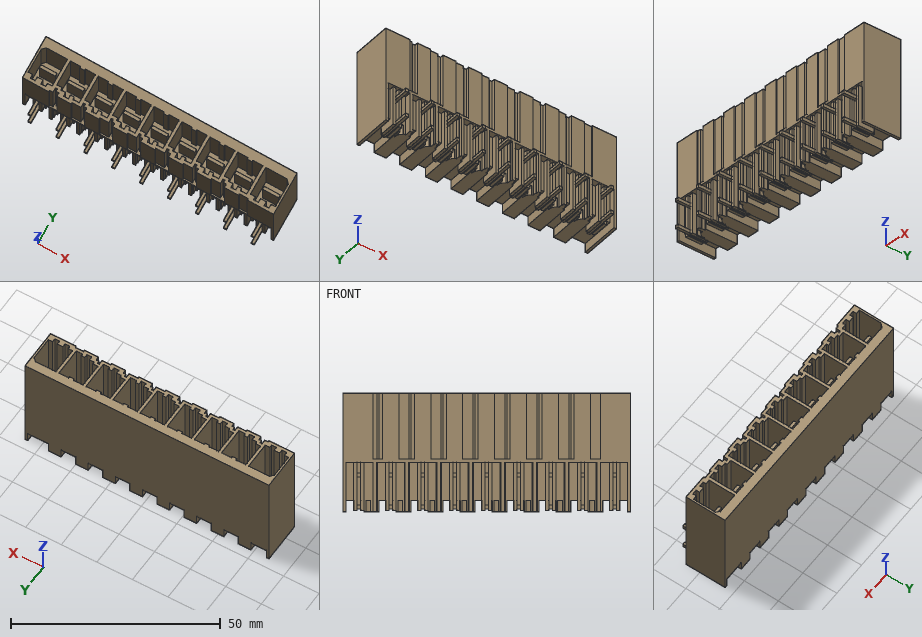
import cadquery as cq


LENGTH = 68.6
DEPTH = 11.5
HEIGHT = 28.3

CELLS = 9
PITCH = LENGTH / CELLS
LAST = CELLS - 1

SOCKET_FLOOR = 12.6
SOCKET_FRONT = 1.85
SOCKET_BACK = 9.1
PARTITION = 0.8
SOCKET_END_WALL = 0.55
CORNER_CHAMFER = 0.9
KEYWAY_FRONT = 0.8
KEYWAY_WIDTH = 1.3
END_KEYWAY_OFFSET = 1.45
END_RELIEF_FRONT = 1.65
RIDGE_WIDTH = 1.3
RIDGE_DEPTH = 0.4
LEFT_STEP_WIDTH = 1.45
LEFT_STEP_FRONT = 2.5
RIGHT_RELIEF_WIDTH = 1.7
RIGHT_RELIEF_FRONT = 1.25

GROOVE_LEFT_OFFSET = -1.9
SLOT_LEFT_OFFSET = 0.515
SLOT_RIGHT_OFFSET = 1.0
GROOVE_RIGHT_OFFSET = 1.8
END_GROOVE_REACH = 0.4
GROOVE_DEPTH = 0.4
SLOT_DEPTH = 1.65
LEDGE_DEPTH = 0.95

BAY_TOP = 11.8
BAY_BACK = 1.7
BAY_END_WALL = 0.75
BAY_STEP = 0.2
BAY_STEP_FRONT = 0.7

PASSAGE_TOP = 2.7
POST_LEFT_OFFSET = -2.55
POST_RIGHT_OFFSET = 1.0
NOTCH_LEFT_OFFSET = -2.1
NOTCH_RIGHT_OFFSET = -1.0
NOTCH_DEPTH = 2.2
NOTCH_CURVE_RADIUS = 2.4

RIB_WIDTH = 0.8
RIB_FRONT = 0.5
RIB_BOTTOM = 0.3

LEG_WIDTH = 0.8
LEG_HEIGHT = 0.95
LEG_REACH = 3.35
LEG_BOTTOMS = (0.6, 8.3)
STEM_FRONT = 5.35
STEM_THICKNESS = 0.8
BLADE_WIDTH = 4.4
BLADE_TOP = 21.95


def block(x_range, y_range, z_range):
    """Rectangular block between the given limits."""
    (x0, x1), (y0, y1), (z0, z1) = x_range, y_range, z_range
    return cq.Workplane("XY").box(x1 - x0, y1 - y0, z1 - z0, centered=False).translate((x0, y0, z0))


def around(middle, width):
    """Limits of a width centred on a middle."""
    return (middle - width / 2, middle + width / 2)


def cell_middle(index):
    return LENGTH / 2 + (index - LAST / 2) * PITCH


def boundary(index):
    """X of the plane between cell index - 1 and cell index."""
    return cell_middle(index) - PITCH / 2


SOCKET_Z = (SOCKET_FLOOR, HEIGHT)


def middle_socket(index):
    """Cavity with one keyway in front, a ridge at the back and stepped front corners."""
    left = boundary(index) + PARTITION / 2
    right = boundary(index + 1) - PARTITION / 2
    middle = cell_middle(index)
    keyway_x = around(middle, KEYWAY_WIDTH)
    relief_x = (right - RIGHT_RELIEF_WIDTH, right)
    step_x = (left, left + LEFT_STEP_WIDTH)
    ridge_x = around(middle, RIDGE_WIDTH)

    socket = block((left, right), (SOCKET_FRONT, SOCKET_BACK), SOCKET_Z)
    socket = socket.union(block(keyway_x, (KEYWAY_FRONT, LEFT_STEP_FRONT), SOCKET_Z))
    socket = socket.union(block(relief_x, (RIGHT_RELIEF_FRONT, LEFT_STEP_FRONT), SOCKET_Z))
    socket = socket.cut(block(step_x, (SOCKET_FRONT, LEFT_STEP_FRONT), SOCKET_Z))
    return socket.cut(block(ridge_x, (SOCKET_BACK - RIDGE_DEPTH, SOCKET_BACK), SOCKET_Z))


def left_end_socket():
    """Cavity with two keyways in front and one chamfered corner at the back."""
    right = boundary(1) - PARTITION / 2
    inner_keyway = cell_middle(0) + END_KEYWAY_OFFSET
    outer_keyway = cell_middle(0) - END_KEYWAY_OFFSET

    socket = block((SOCKET_END_WALL, right), (SOCKET_FRONT, SOCKET_BACK), SOCKET_Z)
    socket = socket.edges("|Z and <X and >Y").chamfer(CORNER_CHAMFER)
    for keyway in (inner_keyway, outer_keyway):
        keyway_x = around(keyway, KEYWAY_WIDTH)
        socket = socket.union(block(keyway_x, (KEYWAY_FRONT, LEFT_STEP_FRONT), SOCKET_Z))
    return socket.union(block((inner_keyway, right), (END_RELIEF_FRONT, LEFT_STEP_FRONT), SOCKET_Z))


def cut_sockets(body):
    end_socket = left_end_socket()
    body = body.cut(end_socket).cut(end_socket.mirror("YZ", (LENGTH / 2, 0, 0)))
    for index in range(1, LAST):
        body = body.cut(middle_socket(index))
    return body


def cut_front_grooves(body):
    """The first groove is cut short on its left, and the last one has no slot or ledge."""
    for index in range(1, CELLS):
        plane = boundary(index)
        left = plane - END_GROOVE_REACH if index == 1 else plane + GROOVE_LEFT_OFFSET
        slot_left = plane + SLOT_LEFT_OFFSET
        slot_right = plane + SLOT_RIGHT_OFFSET
        right = plane + GROOVE_RIGHT_OFFSET
        if index == LAST:
            body = body.cut(block((left, plane + END_GROOVE_REACH), (0, GROOVE_DEPTH), SOCKET_Z))
        else:
            body = body.cut(block((left, slot_left), (0, GROOVE_DEPTH), SOCKET_Z))
            body = body.cut(block((slot_left, slot_right), (0, SLOT_DEPTH), SOCKET_Z))
            body = body.cut(block((slot_right, right), (0, LEDGE_DEPTH), SOCKET_Z))
    return body


def bay(index):
    """Bay between two partitions. Its back part is narrower, except in the end cells."""
    left = BAY_END_WALL if index == 0 else boundary(index) + PARTITION / 2
    right = LENGTH - BAY_END_WALL if index == LAST else boundary(index + 1) - PARTITION / 2
    step = 0 if index in (0, LAST) else BAY_STEP
    front_part = block((left, right), (0, BAY_STEP_FRONT), (0, BAY_TOP))
    back_part = block((left + step, right - step), (0, BAY_BACK), (0, BAY_TOP))
    return front_part.union(back_part)


def passage(index):
    """Low passage through the whole depth, between the posts on both sides of a cell."""
    left = BAY_END_WALL if index == 0 else boundary(index) + POST_RIGHT_OFFSET
    right = LENGTH - BAY_END_WALL if index == LAST else boundary(index + 1) + POST_LEFT_OFFSET
    return block((left, right), (0, DEPTH), (0, PASSAGE_TOP))


def post_notch(index):
    """Notch in the front of a post, with a rounded inner face that bulges to the front."""
    left = boundary(index) + NOTCH_LEFT_OFFSET
    right = boundary(index) + NOTCH_RIGHT_OFFSET
    back = BAY_BACK + NOTCH_DEPTH
    curve = cq.Workplane("XY").center(left + NOTCH_CURVE_RADIUS, back)
    curve = curve.circle(NOTCH_CURVE_RADIUS).extrude(PASSAGE_TOP)
    return block((left, right), (BAY_BACK, back), (0, PASSAGE_TOP)).cut(curve)


def cut_underside(body):
    for index in range(CELLS):
        body = body.cut(bay(index)).cut(passage(index))
    for index in range(1, CELLS):
        body = body.cut(post_notch(index))
    return body


def add_ribs(body):
    """Two ribs in each bay hold the legs of the pin in a slot that reaches back to its stem."""
    for index in range(CELLS):
        slot_x = around(cell_middle(index), LEG_WIDTH)
        body = body.cut(block(slot_x, (0, STEM_FRONT), (0, BAY_TOP)))
        for side in (-1, 1):
            middle = cell_middle(index) + side * (LEG_WIDTH + RIB_WIDTH) / 2
            rib = block(around(middle, RIB_WIDTH), (RIB_FRONT, STEM_FRONT), (RIB_BOTTOM, BAY_TOP))
            body = body.union(rib)
    return body


def make_pin(index):
    """Flat blade in the socket, on a stem with two legs that reach out of the front."""
    middle = cell_middle(index)
    leg_x = around(middle, LEG_WIDTH)
    stem_y = (STEM_FRONT, STEM_FRONT + STEM_THICKNESS)

    pin = block(leg_x, stem_y, (LEG_BOTTOMS[0], SOCKET_FLOOR))
    pin = pin.union(block(around(middle, BLADE_WIDTH), stem_y, (SOCKET_FLOOR, BLADE_TOP)))
    for bottom in LEG_BOTTOMS:
        pin = pin.union(block(leg_x, (-LEG_REACH, STEM_FRONT), (bottom, bottom + LEG_HEIGHT)))
    return pin


def make_housing(pins):
    body = block((0, LENGTH), (0, DEPTH), (0, HEIGHT))
    body = cut_sockets(body)
    body = cut_front_grooves(body)
    body = cut_underside(body)
    body = add_ribs(body)
    for pin in pins:
        body = body.cut(pin)
    return body


pins = [make_pin(index) for index in range(CELLS)]
housing = make_housing(pins)

result = cq.Compound.makeCompound([housing.val(), *[pin.val() for pin in pins]])